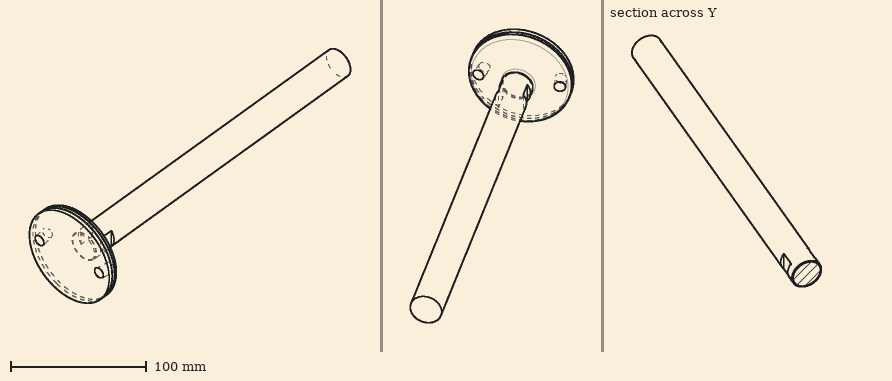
import cadquery as cq
import math

total_length = 302.0
flange_radius = 78.0 / 2
shaft_radius = 24.0 / 2
flange_face_y = -total_length / 2

groove_bottom = 3.5
groove_top = 6.3
rim_height = 9.5
cone_top = 14.2
shaft_bottom = 16.5

groove_depth = 0.3

neck_radius = 11.2
rim_fillet = 2.7
neck_fillet = 2.0

flats_bottom = 24.0
flats_length = 12.7
flats_width = 18.7

hole_diameter = 8.5
hole_offset = 29.0
hole_reach = 15.0
cone_slope = math.atan2(cone_top - rim_height, flange_radius - neck_radius)


def ring_at(radius, height):
    """Selector for the circular edge of this radius at this height above the flange face."""
    margin = 0.15
    y = flange_face_y + height
    reach = radius + margin
    return cq.selectors.BoxSelector((-reach, y - margin, -reach), (reach, y + margin, reach), boundingbox=True)


def revolved_body():
    """Flange, neck and shaft as one profile turned about the Y axis."""
    groove_radius = flange_radius - groove_depth
    profile = (
        cq.Workplane("XY", origin=(0, flange_face_y, 0))
        .moveTo(0, 0)
        .lineTo(flange_radius, 0)
        .lineTo(flange_radius, groove_bottom)
        .lineTo(groove_radius, groove_bottom)
        .lineTo(groove_radius, groove_top)
        .lineTo(flange_radius, groove_top)
        .lineTo(flange_radius, rim_height)
        .lineTo(neck_radius, cone_top)
        .lineTo(neck_radius, shaft_bottom)
        .lineTo(shaft_radius, shaft_bottom)
        .lineTo(shaft_radius, total_length)
        .lineTo(0, total_length)
        .close()
    )
    body = profile.revolve(360, (0, 0, 0), (0, 1, 0))
    body = body.edges(ring_at(flange_radius, rim_height)).fillet(rim_fillet)
    return body.edges(ring_at(neck_radius, cone_top)).fillet(neck_fillet)


def flat_cutter(side):
    """Block that mills one wrench flat."""
    block_size = 2 * shaft_radius
    return cq.Workplane("XY").box(block_size, flats_length, block_size).translate(
        (side * (flats_width + block_size) / 2, flange_face_y + flats_bottom + flats_length / 2, 0)
    )


def hole_cutter(side):
    """Cylinder that leans outward as it leaves the flange face."""
    direction = cq.Vector(side * math.sin(cone_slope), math.cos(cone_slope), 0)
    face_center = cq.Vector(side * hole_offset, flange_face_y, 0)
    start = face_center - direction * hole_reach
    return cq.Workplane(cq.Solid.makeCylinder(hole_diameter / 2, 2 * hole_reach, start, direction))


result = revolved_body()
for side in (-1, 1):
    result = result.cut(flat_cutter(side)).cut(hole_cutter(side))